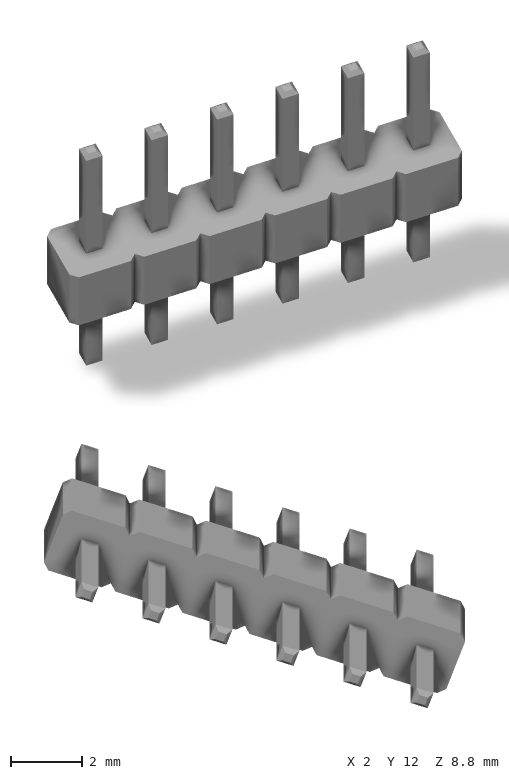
import cadquery as cq

pin_count = 6
body_length = 12.0
body_height = 2.0
corner_cut = 0.2
pin_width = 0.5
pin_above = 4.0
pin_below = 2.8

pitch = body_length / pin_count
body_width = pitch
tip_cut = pin_width / 4
pin_length = pin_below + body_height + pin_above
cell_centers = [(0, (i - (pin_count - 1) / 2) * pitch) for i in range(pin_count)]


def make_body():
    """Row of square cells whose cut corners form V notches between neighbours."""
    cell = cq.Workplane("XY").rect(body_width, pitch).extrude(body_height).edges("|Z").chamfer(corner_cut)
    body = cq.Workplane("XY")
    for center_x, center_y in cell_centers:
        body = body.union(cell.translate((center_x, center_y, 0)))
    return body.clean()


def make_pins():
    """Square pins running through the body, tapered at both ends."""
    return (
        cq.Workplane("XY")
        .workplane(offset=-pin_below)
        .pushPoints(cell_centers)
        .rect(pin_width, pin_width)
        .extrude(pin_length)
        .faces("<Z or >Z")
        .chamfer(tip_cut)
    )


result = make_body().union(make_pins())